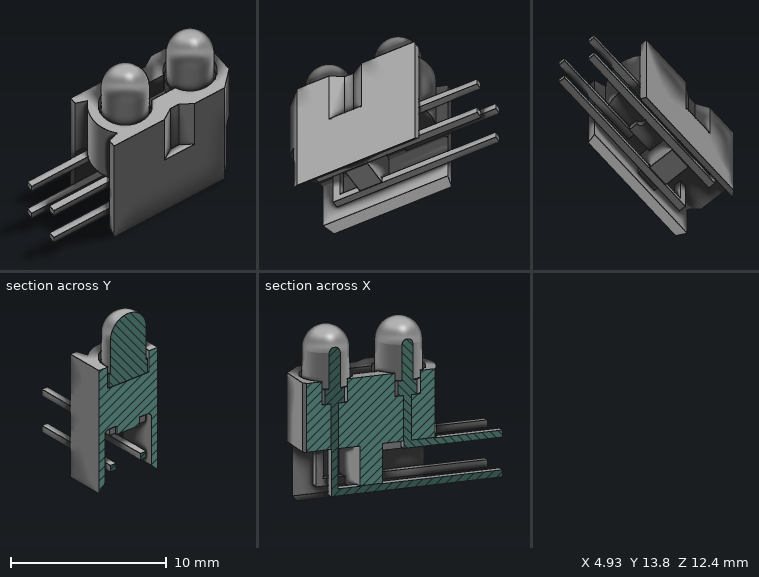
import cadquery as cq
import math


housing_width = 4.93
housing_height = 9.02
housing_rear = 4.69
housing_front = -5.11
rear_chamfer = 1.16
side_wall = 0.54
inner_half_width = housing_width / 2 - side_wall

lamp_pitch = 5.07
lens_radius = 1.55
overall_height = 12.4
dome_base = overall_height - lens_radius
flange_radius = 1.65
flange_top = 8.47
flange_thickness = 1.0
flange_bottom = flange_top - flange_thickness
rear_lamp_y = lamp_pitch / 2
front_lamp_y = -lamp_pitch / 2

lead_size = 0.5
lead_pitch = 2.49
lead_tip = -9.15
upper_lead_top = 4.4
lower_lead_top = 1.75

lamp_places = [(front_lamp_y, upper_lead_top), (rear_lamp_y, lower_lead_top)]

bore_radius = 1.73
slot_width = 1.3

front_round_radius = 2.44
relief_half_width = 1.66

notch_depth = 0.54
notch_mouth = 2.38
notch_floor_width = 0.66
notch_bottom = 5.01

channel_top = upper_lead_top
channel_fillet = 0.3

partition_front = front_lamp_y + bore_radius
partition_rear = rear_lamp_y - bore_radius
partition_top = (channel_top + flange_bottom) / 2
separator_width = 1.91
upper_separator_bottom = 3.79
groove_radius = 0.33


def block(x_min, x_max, y_min, y_max, z_min, z_max):
    """Box given by its limits along the three axes."""
    size = (x_max - x_min, y_max - y_min, z_max - z_min)
    return cq.Workplane("XY").box(*size, centered=False).translate((x_min, y_min, z_min))


def housing_blank():
    """Full-height prism with chamfered rear corners and a rounded front between two reliefs."""
    half = housing_width / 2
    relief_y = front_lamp_y - math.sqrt(front_round_radius**2 - relief_half_width**2)
    return (
        cq.Workplane("XY")
        .moveTo(-half, housing_front)
        .lineTo(-inner_half_width, housing_front)
        .lineTo(-relief_half_width, relief_y)
        .threePointArc((0, front_lamp_y - front_round_radius), (relief_half_width, relief_y))
        .lineTo(inner_half_width, housing_front)
        .lineTo(half, housing_front)
        .lineTo(half, housing_rear - rear_chamfer)
        .lineTo(half - rear_chamfer, housing_rear)
        .lineTo(-half + rear_chamfer, housing_rear)
        .lineTo(-half, housing_rear - rear_chamfer)
        .close()
        .extrude(housing_height)
    )


def channel():
    """Space between the side walls, with rounded upper corners and a 45 degree flare at the foot."""
    half = housing_width / 2
    length = housing_rear - housing_front
    straight = (
        block(-inner_half_width, inner_half_width, housing_front, housing_rear, 0, channel_top)
        .edges("|Y and >Z")
        .fillet(channel_fillet)
    )
    flare = (
        cq.Workplane("XZ", origin=(0, housing_rear, 0))
        .polyline([(-half, 0), (half, 0), (inner_half_width, side_wall), (-inner_half_width, side_wall)])
        .close()
        .extrude(length)
    )
    return straight.union(flare)


def grip_notch(side):
    """Tapered notch in one flank, open at the top; side is -1 or +1."""
    outer = side * housing_width / 2
    floor = outer - side * notch_depth
    return (
        cq.Workplane("XY", origin=(0, 0, notch_bottom))
        .polyline(
            [
                (outer, -notch_mouth / 2),
                (floor, -notch_floor_width / 2),
                (floor, notch_floor_width / 2),
                (outer, notch_mouth / 2),
            ]
        )
        .close()
        .extrude(housing_height - notch_bottom)
    )


def lamp_bores():
    """Two bores whose floors carry the lamps, joined by a straight slot of the same depth."""
    depth = housing_height - flange_bottom
    bores = (
        cq.Workplane("XY", origin=(0, 0, flange_bottom))
        .pushPoints([(0, front_lamp_y), (0, rear_lamp_y)])
        .circle(bore_radius)
        .extrude(depth)
    )
    slot = cq.Workplane("XY", origin=(0, 0, flange_bottom)).rect(slot_width, lamp_pitch).extrude(depth)
    return bores.union(slot)


def partition():
    """Cross wall in the channel, with separators reaching down and forward between the leads."""
    half = separator_width / 2
    separator_front = front_lamp_y - lead_size / 2
    wall = block(
        -inner_half_width, inner_half_width, partition_front, partition_rear, lower_lead_top, partition_top
    )
    lower_separator = block(
        -half, half, partition_front, partition_rear, lower_lead_top - lead_size, lower_lead_top
    )
    upper_separator = block(
        -half, half, separator_front, partition_front, upper_separator_bottom, channel_top
    )
    groove = (
        cq.Workplane("XY", origin=(0, separator_front, upper_separator_bottom))
        .circle(groove_radius)
        .extrude(channel_top - upper_separator_bottom)
    )
    return wall.union(lower_separator).union(upper_separator.cut(groove))


def lead_pair(lamp_y, lead_top):
    """Two square leads running down from a flange and bending forward below lead_top."""
    leads = []
    half = lead_size / 2
    for x in (-lead_pitch / 2, lead_pitch / 2):
        drop = block(x - half, x + half, lamp_y - half, lamp_y + half, lead_top - lead_size, flange_bottom)
        run = block(x - half, x + half, lead_tip, lamp_y + half, lead_top - lead_size, lead_top)
        leads.append(drop.union(run))
    return leads


def make_lamp(lamp_y, lead_top):
    """Lens, flange and bent leads of one lamp."""
    flange = (
        cq.Workplane("XY", origin=(0, lamp_y, flange_bottom))
        .circle(flange_radius)
        .extrude(flange_thickness)
    )
    barrel = (
        cq.Workplane("XY", origin=(0, lamp_y, flange_top))
        .circle(lens_radius)
        .extrude(dome_base - flange_top)
    )
    dome = cq.Workplane("XY", origin=(0, lamp_y, dome_base)).sphere(lens_radius)
    lamp = flange.union(barrel).union(dome)
    for lead in lead_pair(lamp_y, lead_top):
        lamp = lamp.union(lead)
    return lamp


def make_housing():
    """Housing with matching passages where the leads go through it."""
    housing = housing_blank().cut(channel())
    housing = housing.union(partition()).cut(lamp_bores())
    for side in (-1, 1):
        housing = housing.cut(grip_notch(side))
    for lamp_y, lead_top in lamp_places:
        for lead in lead_pair(lamp_y, lead_top):
            housing = housing.cut(lead)
    return housing


housing = make_housing()
lamps = [make_lamp(lamp_y, lead_top) for lamp_y, lead_top in lamp_places]

result = cq.Compound.makeCompound([housing.val(), *[lamp.val() for lamp in lamps]])